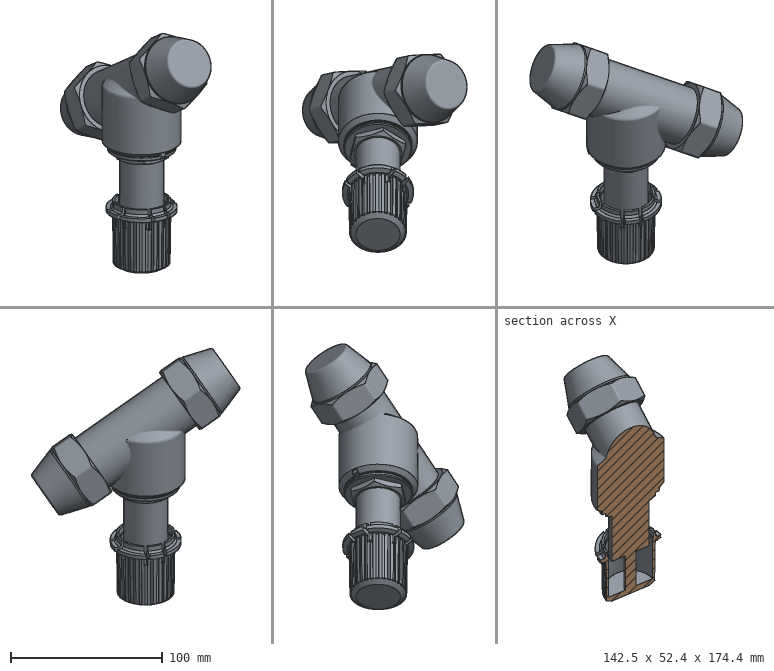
import cadquery as cq
import math

PIPE_ANGLE = 30.0
AXIS_CROSSING_Z = 127.8
PIPE_RADIUS = 19.7
PIPE_MIDDLE = -8.0

NUT_FLATS = 45.7
NUT_INNER = 35.4
NUT_OUTER = 52.7
NUT_EDGE_FILLET = 2.3
CHAMFER_ANGLE = 30.0
TAIL_SHOULDER = 53.9
TAIL_END = 73.2
TAIL_BASE_RADIUS = 22.7
TAIL_END_RADIUS = 16.4
TAIL_RIM_FILLET = 1.5

BRANCH_RADIUS = 26.2
BRANCH_BOTTOM_Z = 88.2
BRANCH_SHOULDER_Z = 127.3
BRANCH_CROWN_RADIUS = 15.7
BRANCH_CROWN_ANGLE = 32.0
BRANCH_SHOULDER_ROUND = 2.0
JOINT_FILLET = 0.9

NECK_RING_RADIUS = 22.7
NECK_TOP_Z = 85.5
NECK_UNDERCUT_RADIUS = 22.1
NECK_RING_TOP_Z = 84.4
NECK_RING_BOTTOM_Z = 82.0
NECK_RING_CHAMFER = 0.7
NECK_HEX_FLATS = 33.8
NECK_HEX_FACE_RADIUS = 15.9
NECK_HEX_BOTTOM_Z = 77.2
TAB_REACH = 25.5
TAB_WIDTH = 3.5
TAB_BOTTOM_Z = 84.9

STEM_RADIUS = 14.6
STEM_BOTTOM_Z = 36.1
SPINDLE_RADIUS = 4.4

CAP_TOP_Z = 46.5
CAP_RADIUS = 19.4
CAP_FOOT_RADIUS = 18.8
CAP_BASE_RADIUS = 14.6
CAP_CHAMFER_HEIGHT = 2.5
CAP_BORE_RADIUS = 16.9
COLLAR_BORE_RADIUS = 17.8
CAP_FLOOR = 5.2
FLANGE_RADIUS = 23.5
FLANGE_TOP_Z = 41.8
FLANGE_EDGE_Z = 39.0
FLANGE_BOTTOM_Z = 38.0
FLANGE_ROOT_RADIUS = 20.4
FLANGE_FLARE = 1.4
RIB_COUNT = 30
GROOVE_WIDTH = 1.7
GROOVE_FLOOR_RADIUS = 18.0
SLOT_OFFSET = 6.1
SLOT_WIDTH = 2.5
SLOT_BOTTOM_Z = 31.9


def revolve_about_z(points):
    """Solid of revolution from (radius, z) points."""
    return cq.Workplane("XZ").polyline(points).close().revolve(360, (0, 0, 0), (0, 1, 0))


def revolve_about_x(points):
    """Solid of revolution from (x, radius) points."""
    return cq.Workplane("XY").polyline(points).close().revolve(360, (0, 0, 0), (1, 0, 0))


def across_corners(flats):
    return flats / math.cos(math.radians(30))


def union_nut():
    """Hexagon nut on the X axis with corners at +Z and -Z, both faces chamfered."""
    corners = across_corners(NUT_FLATS)
    hexagon = (
        cq.Workplane("YZ", origin=(NUT_INNER, 0, 0))
        .transformed(rotate=(0, 0, 90))
        .polygon(6, corners)
        .extrude(NUT_OUTER - NUT_INNER)
        .edges("|X")
        .fillet(NUT_EDGE_FILLET)
    )
    face_radius = NUT_FLATS / 2
    corner_radius = corners / 2
    setback = (corner_radius - face_radius) * math.tan(math.radians(CHAMFER_ANGLE))
    envelope = revolve_about_x([
        (NUT_INNER, 0),
        (NUT_INNER, face_radius),
        (NUT_INNER + setback, corner_radius),
        (NUT_OUTER - setback, corner_radius),
        (NUT_OUTER, face_radius),
        (NUT_OUTER, 0),
    ])
    return hexagon.intersect(envelope)


def tail_piece():
    """Tapered tail from the nut to the pipe end, with a rounded rim."""
    cone = revolve_about_x([
        (NUT_OUTER, 0),
        (NUT_OUTER, TAIL_BASE_RADIUS),
        (TAIL_SHOULDER, TAIL_BASE_RADIUS),
        (TAIL_END, TAIL_END_RADIUS),
        (TAIL_END, 0),
    ])
    return cone.faces(">X").edges().fillet(TAIL_RIM_FILLET)


def tilt(body):
    """Move a body from the X axis onto the inclined pipe axis."""
    return (
        body.translate((PIPE_MIDDLE, 0, 0))
        .rotate((0, 0, 0), (0, 1, 0), -PIPE_ANGLE)
        .translate((0, 0, AXIS_CROSSING_Z))
    )


def pipe():
    """Inclined pipe, its cylinder seam turned to the top to keep the branch joint in one piece."""
    tube = cq.Workplane("YZ", origin=(-NUT_OUTER, 0, 0)).circle(PIPE_RADIUS).extrude(2 * NUT_OUTER)
    return tilt(tube.rotate((0, 0, 0), (1, 0, 0), 90))


def branch():
    """Vertical housing: chamfer up from the neck, rounded shoulder and conical crown."""
    crown_angle = math.radians(BRANCH_CROWN_ANGLE)
    round_center = BRANCH_RADIUS - BRANCH_SHOULDER_ROUND

    def shoulder_point(angle):
        return (
            round_center + BRANCH_SHOULDER_ROUND * math.cos(angle),
            BRANCH_SHOULDER_Z + BRANCH_SHOULDER_ROUND * math.sin(angle),
        )

    round_sweep = math.pi / 2 - crown_angle
    round_end = shoulder_point(round_sweep)
    crown_top_z = round_end[1] + (round_end[0] - BRANCH_CROWN_RADIUS) * math.tan(crown_angle)
    return (
        cq.Workplane("XZ")
        .moveTo(0, NECK_TOP_Z)
        .lineTo(NECK_RING_RADIUS, NECK_TOP_Z)
        .lineTo(BRANCH_RADIUS, BRANCH_BOTTOM_Z)
        .lineTo(BRANCH_RADIUS, BRANCH_SHOULDER_Z)
        .threePointArc(shoulder_point(round_sweep / 2), round_end)
        .lineTo(BRANCH_CROWN_RADIUS, crown_top_z)
        .lineTo(0, crown_top_z)
        .close()
        .revolve(360, (0, 0, 0), (0, 1, 0))
    )


def valve_body():
    """Pipe and branch joined, with the concave seam between them rounded."""
    joined = pipe().union(branch())
    seam = [edge for edge in joined.edges().vals() if edge.geomType() == "BSPLINE"]
    return joined.newObject(seam).fillet(JOINT_FILLET)


def disc(radius, bottom, top):
    """Solid cylinder on the valve axis between two heights."""
    return cq.Workplane("XY", origin=(0, 0, bottom)).circle(radius).extrude(top - bottom)


def neck_hexagon():
    """Hexagon under the neck ring, corners at +Y and -Y, its lower face chamfered."""
    corners = across_corners(NECK_HEX_FLATS)
    hexagon = (
        cq.Workplane("XY", origin=(0, 0, NECK_HEX_BOTTOM_Z))
        .transformed(rotate=(0, 0, 90))
        .polygon(6, corners)
        .extrude(NECK_RING_BOTTOM_Z - NECK_HEX_BOTTOM_Z)
    )
    setback = (corners / 2 - NECK_HEX_FACE_RADIUS) * math.tan(math.radians(CHAMFER_ANGLE))
    envelope = revolve_about_z([
        (0, NECK_HEX_BOTTOM_Z),
        (NECK_HEX_FACE_RADIUS, NECK_HEX_BOTTOM_Z),
        (corners / 2, NECK_HEX_BOTTOM_Z + setback),
        (corners / 2, NECK_RING_BOTTOM_Z),
        (0, NECK_RING_BOTTOM_Z),
    ])
    return hexagon.intersect(envelope)


def neck():
    """Ring below a shallow undercut, hexagon, and a small tab on the +X side."""
    ring = disc(NECK_RING_RADIUS, NECK_RING_BOTTOM_Z, NECK_RING_TOP_Z)
    ring = ring.faces("<Z").chamfer(NECK_RING_CHAMFER)
    undercut = disc(NECK_UNDERCUT_RADIUS, NECK_RING_TOP_Z, NECK_TOP_Z)
    tab = cq.Workplane("XY").box(
        TAB_REACH, TAB_WIDTH, BRANCH_BOTTOM_Z - TAB_BOTTOM_Z, centered=(False, True, False)
    )
    return ring.union(undercut).union(neck_hexagon()).union(tab.translate((0, 0, TAB_BOTTOM_Z)))


def stem():
    """Stem above, and a thin spindle that reaches down into the cap floor."""
    shaft = disc(STEM_RADIUS, STEM_BOTTOM_Z, NECK_HEX_BOTTOM_Z)
    return shaft.union(disc(SPINDLE_RADIUS, 0, STEM_BOTTOM_Z))


def cap():
    """Hollow cap with a flange, grooved grip and slots that split its collar."""
    shell = revolve_about_z([
        (0, 0),
        (CAP_BASE_RADIUS, 0),
        (CAP_FOOT_RADIUS, CAP_CHAMFER_HEIGHT),
        (CAP_RADIUS, FLANGE_BOTTOM_Z),
        (FLANGE_ROOT_RADIUS, FLANGE_BOTTOM_Z),
        (FLANGE_RADIUS, FLANGE_EDGE_Z),
        (FLANGE_RADIUS, FLANGE_TOP_Z),
        (CAP_RADIUS + FLANGE_FLARE, FLANGE_TOP_Z),
        (CAP_RADIUS, FLANGE_TOP_Z + FLANGE_FLARE),
        (CAP_RADIUS, CAP_TOP_Z),
        (COLLAR_BORE_RADIUS, CAP_TOP_Z),
        (COLLAR_BORE_RADIUS, FLANGE_TOP_Z),
        (CAP_BORE_RADIUS, FLANGE_TOP_Z),
        (CAP_BORE_RADIUS, CAP_FLOOR),
        (0, CAP_FLOOR),
    ])
    groove_depth = FLANGE_RADIUS - GROOVE_FLOOR_RADIUS
    grooves = (
        cq.Workplane("XY", origin=(0, 0, CAP_CHAMFER_HEIGHT))
        .polarArray(GROOVE_FLOOR_RADIUS + groove_depth / 2, 0, 360, RIB_COUNT)
        .rect(groove_depth, GROOVE_WIDTH)
        .extrude(FLANGE_BOTTOM_Z - CAP_CHAMFER_HEIGHT)
    )
    shell = shell.cut(grooves)
    slot_span = 2 * FLANGE_RADIUS
    slot_height = CAP_TOP_Z - SLOT_BOTTOM_Z
    slot = cq.Workplane("XY").box(slot_span, SLOT_WIDTH, slot_height, centered=(True, True, False))
    slot = slot.translate((0, SLOT_OFFSET, SLOT_BOTTOM_Z))
    for turn in (0, 90, 180, 270):
        shell = shell.cut(slot.rotate((0, 0, 0), (0, 0, 1), turn))
    return shell


end = union_nut().union(tail_piece())
result = (
    valve_body()
    .union(tilt(end))
    .union(tilt(end.mirror("YZ")))
    .union(neck())
    .union(stem())
    .union(cap())
)